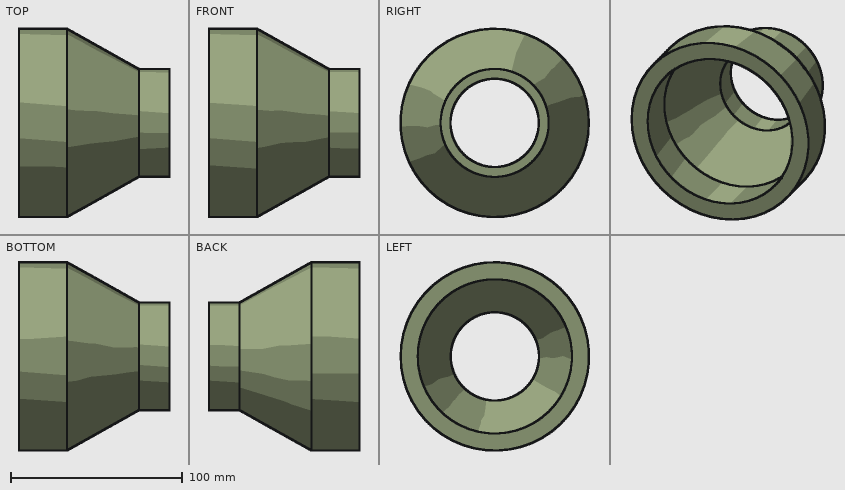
import cadquery as cq

total_length = 88.0
large_end_length = 28.0
small_end_start = 70.0

large_outer_radius = 110.0 / 2
large_bore_radius = 90.0 / 2
small_outer_radius = 63.0 / 2
small_bore_radius = 51.4 / 2


def reducer_solid(large_radius, small_radius):
    """Large cylinder, cone and small cylinder in line along X."""
    half_profile = (
        cq.Workplane("XY")
        .moveTo(0, 0)
        .lineTo(0, large_radius)
        .lineTo(large_end_length, large_radius)
        .lineTo(small_end_start, small_radius)
        .lineTo(total_length, small_radius)
        .lineTo(total_length, 0)
        .close()
    )
    return half_profile.revolve(360, (0, 0, 0), (1, 0, 0))


body = reducer_solid(large_outer_radius, small_outer_radius)
bore = reducer_solid(large_bore_radius, small_bore_radius)

result = body.cut(bore)